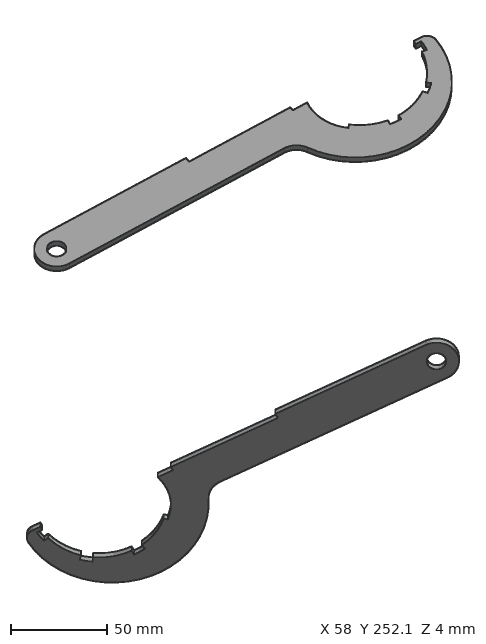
import cadquery as cq
import math

THICKNESS = 4.0
LENGTH = 252.1
WIDTH = 58.0

HANDLE_WIDTH = 23.5
HOLE_RADIUS = 5.0
LOWER_STEP_Y = 89.3
UPPER_STEP_Y = 152.8
NARROW_X = -8.8
NECK_X = -6.5

HOOK_RADIUS = 50.2
ARMPIT_RADIUS = 11.3
TIP_BOTTOM_Y = 230.2
TIP_CORNER_RADIUS = 5.5

BORE_X, BORE_Y = -7.8, 195.7
BORE_RADIUS = 35.0
NOTCH_RADIUS = 37.8
NOTCH_PITCH = 44.0
NOTCH_ANGLE = 10.2
FIRST_NOTCH_END = 78.4
NOTCH_COUNT = 3

SEAT_X, SEAT_Y = -0.5, 187.5
SEAT_RADIUS = 26.5

HANDLE_RADIUS = HANDLE_WIDTH / 2
HOOK_X = WIDTH - HANDLE_RADIUS - HOOK_RADIUS
HOOK_Y = LENGTH - HANDLE_RADIUS - HOOK_RADIUS


def bore_point(radius, angle):
    """Point at a radius and angle in degrees about the bore centre."""
    turn = math.radians(angle)
    return BORE_X + radius * math.cos(turn), BORE_Y + radius * math.sin(turn)


def circle_y(center_x, center_y, radius, x, side):
    """Y of a circle at x, on its upper (side 1) or lower (side -1) half."""
    return center_y + side * math.sqrt(radius**2 - (x - center_x) ** 2)


def bore_arc(outline, radius, start, end):
    """Continue the outline with an arc about the bore centre."""
    return outline.threePointArc(bore_point(radius, (start + end) / 2), bore_point(radius, end))


def make_outline():
    armpit_x = HANDLE_RADIUS + ARMPIT_RADIUS
    armpit_y = circle_y(HOOK_X, HOOK_Y, HOOK_RADIUS + ARMPIT_RADIUS, armpit_x, -1)
    share = HOOK_RADIUS / (HOOK_RADIUS + ARMPIT_RADIUS)
    armpit_end = (HOOK_X + share * (armpit_x - HOOK_X), HOOK_Y + share * (armpit_y - HOOK_Y))
    armpit_half_turn = math.atan2(armpit_end[1] - armpit_y, armpit_x - armpit_end[0]) / 2
    armpit_mid = (
        armpit_x - ARMPIT_RADIUS * math.cos(armpit_half_turn),
        armpit_y + ARMPIT_RADIUS * math.sin(armpit_half_turn),
    )
    tip_top_y = circle_y(HOOK_X, HOOK_Y, HOOK_RADIUS, NARROW_X, 1)

    outline = (
        cq.Workplane("XY")
        .moveTo(-HANDLE_RADIUS, 0)
        .threePointArc((0, -HANDLE_RADIUS), (HANDLE_RADIUS, 0))
        .lineTo(HANDLE_RADIUS, armpit_y)
        .threePointArc(armpit_mid, armpit_end)
        .threePointArc((HOOK_X + HOOK_RADIUS, HOOK_Y), (NARROW_X, tip_top_y))
    )

    notch_top_y = circle_y(BORE_X, BORE_Y, NOTCH_RADIUS, NECK_X, 1)
    notch_start = math.degrees(math.atan2(notch_top_y - BORE_Y, NECK_X - BORE_X))
    outline = (
        outline.lineTo(NARROW_X, TIP_BOTTOM_Y)
        .lineTo(NECK_X, TIP_BOTTOM_Y)
        .lineTo(NECK_X, notch_top_y)
    )

    for index in range(NOTCH_COUNT):
        notch_end = FIRST_NOTCH_END - index * NOTCH_PITCH
        next_start = notch_end + NOTCH_ANGLE - NOTCH_PITCH
        outline = bore_arc(outline, NOTCH_RADIUS, notch_start, notch_end)
        outline = outline.lineTo(*bore_point(BORE_RADIUS, notch_end))
        outline = bore_arc(outline, BORE_RADIUS, notch_end, next_start)
        if index < NOTCH_COUNT - 1:
            outline = outline.lineTo(*bore_point(NOTCH_RADIUS, next_start))
        notch_start = next_start

    turn = math.radians(next_start)
    offset_x, offset_y = BORE_X - SEAT_X, BORE_Y - SEAT_Y
    along = offset_x * math.cos(turn) + offset_y * math.sin(turn)
    wall_reach = -along + math.sqrt(along**2 - offset_x**2 - offset_y**2 + SEAT_RADIUS**2)
    seat_end_y = circle_y(SEAT_X, SEAT_Y, SEAT_RADIUS, NECK_X, -1)
    outline = outline.lineTo(*bore_point(wall_reach, next_start)).threePointArc(
        (SEAT_X, SEAT_Y - SEAT_RADIUS), (NECK_X, seat_end_y)
    )

    return (
        outline.lineTo(NECK_X, UPPER_STEP_Y)
        .lineTo(NARROW_X, UPPER_STEP_Y)
        .lineTo(NARROW_X, LOWER_STEP_Y)
        .lineTo(-HANDLE_RADIUS, LOWER_STEP_Y)
        .close()
    )


def round_tip(body):
    """Round the outer corner of the hook tip."""
    corner = (NARROW_X, LENGTH - HANDLE_RADIUS, THICKNESS / 2)
    return body.edges(cq.selectors.NearestToPointSelector(corner)).edges("|Z").fillet(TIP_CORNER_RADIUS)


plate = round_tip(make_outline().extrude(THICKNESS))
hanging_hole = cq.Workplane("XY").circle(HOLE_RADIUS).extrude(THICKNESS)
result = plate.cut(hanging_hole)